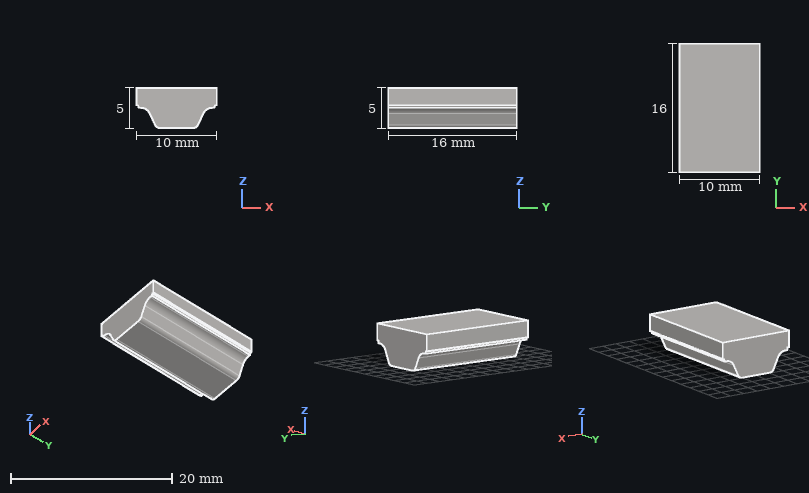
import cadquery as cq
import math

width = 10.0
length = 16.0
height = 5.0

tooth_height = 2.5
tip_width = 5.0
flank_angle = 25.0
root_radius = 1.15
tip_radius = 0.67

step_height = 0.34
step_ledge = 0.2
step_taper = 0.1

half_width = width / 2
step_top_z = tooth_height + step_height
step_outer_x = half_width - step_ledge
step_inner_x = step_outer_x - step_taper
half_tip = tip_width / 2
half_root = half_tip + tooth_height * math.tan(math.radians(flank_angle))

right_side = [
    (half_tip, 0),
    (half_root, tooth_height),
    (step_inner_x, tooth_height),
    (step_outer_x, step_top_z),
    (half_width, step_top_z),
    (half_width, height),
]
left_side = [(-x, z) for x, z in reversed(right_side)]

body = (
    cq.Workplane("XZ")
    .polyline(right_side + left_side)
    .close()
    .extrude(length / 2, both=True)
)


def round_edge_pair(solid, half_spacing, z, radius):
    """Round the two lengthwise edges at x = +/-half_spacing and height z."""
    for x in (-half_spacing, half_spacing):
        edge = cq.selectors.NearestToPointSelector((x, 0, z))
        solid = solid.edges("|Y").edges(edge).fillet(radius)
    return solid


body = round_edge_pair(body, half_root, tooth_height, root_radius)
result = round_edge_pair(body, half_tip, 0, tip_radius)